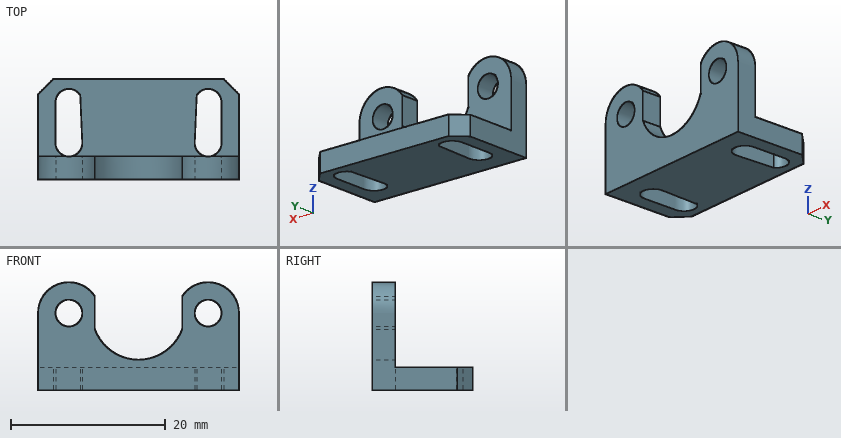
import cadquery as cq
import math

length = 26.0
depth = 13.0
thickness = 3.0
corner_chamfer = 2.0

ear_radius = 4.0
axis_height = 9.98
ear_x = length / 2 - ear_radius
hole_radius = 1.72
cradle_radius = 6.0
cradle_half_width = 5.65

slot_radius = hole_radius
slot_front_y = thickness + slot_radius
slot_back_y = 9.98
slot_back_half_width = 1.45


def make_wall():
    """Upright wall with two round ears, pin holes and the open cradle."""
    blank = cq.Workplane("XY").box(length, thickness, axis_height, centered=(True, False, False))
    ears = (
        cq.Workplane("XZ", origin=(0, 0, axis_height))
        .pushPoints([(-ear_x, 0), (ear_x, 0)])
        .circle(ear_radius)
        .extrude(-thickness)
    )
    holes = (
        cq.Workplane("XZ", origin=(0, 0, axis_height))
        .pushPoints([(-ear_x, 0), (ear_x, 0)])
        .circle(hole_radius)
        .extrude(-thickness)
    )
    arc_end_height = axis_height - math.sqrt(cradle_radius**2 - cradle_half_width**2)
    top = axis_height + ear_radius
    cradle = (
        cq.Workplane("XZ")
        .moveTo(-cradle_half_width, top)
        .lineTo(-cradle_half_width, arc_end_height)
        .threePointArc((0, axis_height - cradle_radius), (cradle_half_width, arc_end_height))
        .lineTo(cradle_half_width, top)
        .close()
        .extrude(-thickness)
    )
    return blank.union(ears).cut(holes).cut(cradle)


def make_foot():
    """Flat foot with its two back corners chamfered."""
    return (
        cq.Workplane("XY")
        .box(length, depth, thickness, centered=(True, False, False))
        .edges("|Z and >Y")
        .chamfer(corner_chamfer)
    )


def make_slot(side):
    """Slot cutter: straight outer edge, slanted inner edge, round ends; side is -1 or 1."""
    outer_x = side * (ear_x + slot_radius)
    inner_x = side * (ear_x - slot_radius)
    back_inner_x = side * (ear_x - slot_back_half_width)
    back_inner_y = slot_back_y + math.sqrt(slot_radius**2 - slot_back_half_width**2)
    return (
        cq.Workplane("XY")
        .moveTo(outer_x, slot_front_y)
        .lineTo(outer_x, slot_back_y)
        .threePointArc((side * ear_x, slot_back_y + slot_radius), (back_inner_x, back_inner_y))
        .lineTo(inner_x, slot_front_y)
        .threePointArc((side * ear_x, slot_front_y - slot_radius), (outer_x, slot_front_y))
        .close()
        .extrude(thickness)
    )


result = make_wall().union(make_foot())
for side in (-1, 1):
    result = result.cut(make_slot(side))